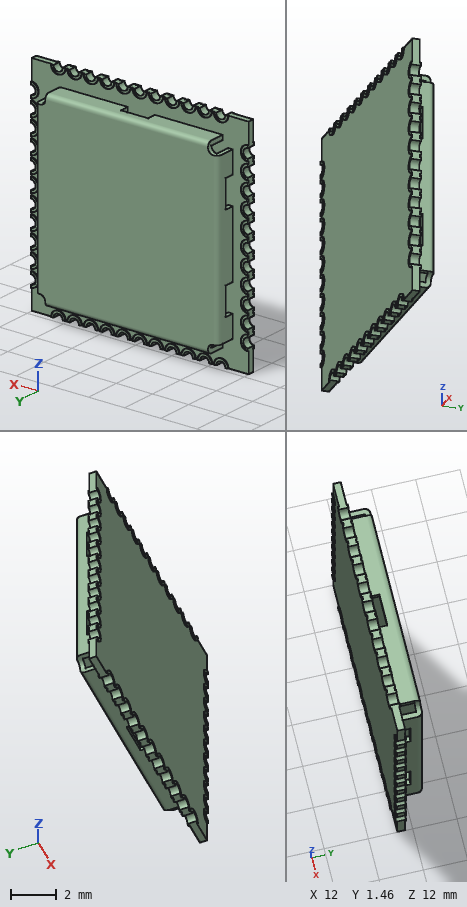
import cadquery as cq

BOARD_SIDE = 12.0
BOARD_THICKNESS = 0.35

HOLES_PER_EDGE = 11
HOLE_PITCH = 0.9
HOLE_RADIUS = 0.25
PAD_RADIUS = 0.4
PAD_THICKNESS = 0.05

OVERALL_DEPTH = 1.46
CAN_SIDE = 10.1
CAN_OFFSET_X = -0.07
CAN_OFFSET_Z = -0.04
SHEET_THICKNESS = 0.25
RELIEF_SIDE = 0.55
WINDOW_WIDTH = 1.5
WINDOW_HEIGHT = 0.49
SIDE_WINDOW_PITCH = 5.1

BOARD_FRONT = PAD_THICKNESS
BOARD_BACK = BOARD_FRONT + BOARD_THICKNESS
PAD_BACK = BOARD_BACK + PAD_THICKNESS


def centred_block(size_x, size_z, y_start, y_end):
    """Block centred on the Y axis between two Y levels."""
    return cq.Workplane("XY").box(size_x, y_end - y_start, size_z).translate((0, (y_start + y_end) / 2, 0))


def cylinders_along_y(points, radius, y_start, y_end):
    """Cylinders parallel to Y, one at each (x, z) point."""
    cylinder = cq.Solid.makeCylinder(radius, y_end - y_start, cq.Vector(0, y_start, 0), cq.Vector(0, 1, 0))
    return [cylinder.translate(cq.Vector(x, 0, z)) for x, z in points]


def castellation_centres():
    """(x, z) centres of the half holes on the four board edges."""
    edge = BOARD_SIDE / 2
    centres = []
    for index in range(HOLES_PER_EDGE):
        along = (index - (HOLES_PER_EDGE - 1) / 2) * HOLE_PITCH
        centres += [(along, edge), (along, -edge), (edge, along), (-edge, along)]
    return centres


def make_board():
    """Board with raised pads around the half holes in its edges."""
    centres = castellation_centres()
    board = centred_block(BOARD_SIDE, BOARD_SIDE, BOARD_FRONT, BOARD_BACK)

    pads = cq.Compound.makeCompound(cylinders_along_y(centres, PAD_RADIUS, 0, PAD_BACK))
    envelope = centred_block(BOARD_SIDE, BOARD_SIDE, 0, PAD_BACK)
    board = board.union(envelope.intersect(cq.Workplane(pads)))

    holes = cq.Compound.makeCompound(cylinders_along_y(centres, HOLE_RADIUS, 0, PAD_BACK))
    return board.cut(cq.Workplane(holes))


def make_can():
    """Five-sided cover with relieved corners and windows at the feet of its walls."""
    cover_inside = OVERALL_DEPTH - SHEET_THICKNESS
    inner_side = CAN_SIDE - 2 * SHEET_THICKNESS

    can = centred_block(CAN_SIDE, CAN_SIDE, BOARD_BACK, OVERALL_DEPTH)
    can = can.faces(">Y").edges().fillet(SHEET_THICKNESS)
    can = can.cut(centred_block(inner_side, inner_side, BOARD_BACK, cover_inside))

    relief_centre = CAN_SIDE / 2
    relief = centred_block(2 * RELIEF_SIDE, 2 * RELIEF_SIDE, BOARD_BACK, OVERALL_DEPTH)
    relief = relief.edges("|Y").fillet(RELIEF_SIDE - SHEET_THICKNESS)
    for x in (-relief_centre, relief_centre):
        for z in (-relief_centre, relief_centre):
            can = can.cut(relief.translate((x, 0, z)))

    window_top = BOARD_BACK + WINDOW_HEIGHT
    can = can.cut(centred_block(WINDOW_WIDTH, CAN_SIDE, BOARD_BACK, window_top))
    side_window = centred_block(CAN_SIDE, WINDOW_WIDTH, BOARD_BACK, window_top)
    for z in (-SIDE_WINDOW_PITCH / 2, SIDE_WINDOW_PITCH / 2):
        can = can.cut(side_window.translate((0, 0, z)))

    return can.translate((CAN_OFFSET_X, 0, CAN_OFFSET_Z))


board = make_board()
shield_can = make_can()

result = cq.Compound.makeCompound([board.val(), shield_can.val()])